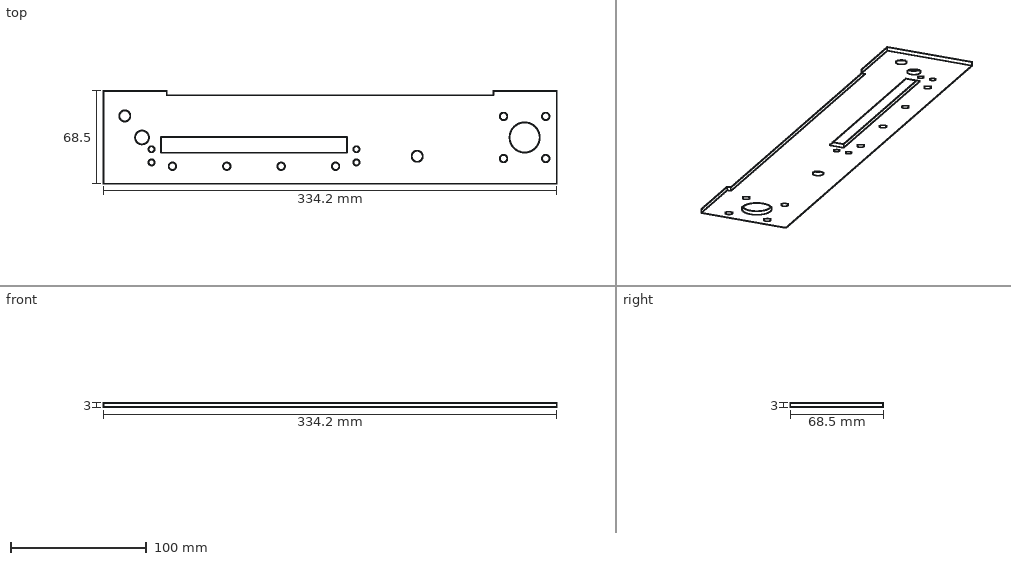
import cadquery as cq

LENGTH = 334.2
WIDTH = 68.5
THICKNESS = 3.0

RELIEF_END_MARGIN = 46.8
RELIEF_DEPTH = 3.0

SLOT_CENTER_X = 111.0
SLOT_CENTER_Y = 28.7
SLOT_LENGTH = 137.0
SLOT_WIDTH = 11.5

PAIR_DIAMETER = 4.5
PAIR_SPACING_X = 151.0
PAIR_SPACING_Y = 9.7
PAIR_CENTER_Y = 20.7

MOUNT_DIAMETER = 5.5
ROW_COUNT = 4
ROW_PITCH = 40.0
ROW_Y = 13.0

MOTOR_X = 310.5
MOTOR_Y = WIDTH / 2
MOTOR_DIAMETER = 22.0
MOTOR_BOLT_SPACING = 31.0

MEDIUM_DIAMETER = 8.0
CORNER_HOLE = (15.7, 50.0)
MIDDLE_HOLE = (231.3, 20.5)
LARGE_DIAMETER = 10.0
LARGE_HOLE = (28.5, WIDTH / 2)


def make_plate():
    """Flat plate with the relief cut from its back edge."""
    plate = cq.Workplane("XY").box(LENGTH, WIDTH, THICKNESS, centered=False)
    relief = (
        cq.Workplane("XY")
        .box(LENGTH - 2 * RELIEF_END_MARGIN, RELIEF_DEPTH, THICKNESS, centered=False)
        .translate((RELIEF_END_MARGIN, WIDTH - RELIEF_DEPTH, 0))
    )
    return plate.cut(relief)


def drill(plate, diameter, points):
    """Cut round through holes at the given points."""
    holes = cq.Workplane("XY").pushPoints(points).circle(diameter / 2).extrude(THICKNESS)
    return plate.cut(holes)


def rectangle_corners(center_x, center_y, spacing_x, spacing_y):
    """Corner points of a rectangular hole pattern."""
    return [
        (center_x + side_x * spacing_x / 2, center_y + side_y * spacing_y / 2)
        for side_x in (-1, 1)
        for side_y in (-1, 1)
    ]


plate = make_plate()

slot = (
    cq.Workplane("XY")
    .center(SLOT_CENTER_X, SLOT_CENTER_Y)
    .rect(SLOT_LENGTH, SLOT_WIDTH)
    .extrude(THICKNESS)
)
plate = plate.cut(slot)

pair_points = rectangle_corners(SLOT_CENTER_X, PAIR_CENTER_Y, PAIR_SPACING_X, PAIR_SPACING_Y)
plate = drill(plate, PAIR_DIAMETER, pair_points)

row_start_x = SLOT_CENTER_X - (ROW_COUNT - 1) * ROW_PITCH / 2
row_points = [(row_start_x + i * ROW_PITCH, ROW_Y) for i in range(ROW_COUNT)]
plate = drill(plate, MOUNT_DIAMETER, row_points)

bolt_points = rectangle_corners(MOTOR_X, MOTOR_Y, MOTOR_BOLT_SPACING, MOTOR_BOLT_SPACING)
plate = drill(plate, MOUNT_DIAMETER, bolt_points)
plate = drill(plate, MOTOR_DIAMETER, [(MOTOR_X, MOTOR_Y)])

plate = drill(plate, MEDIUM_DIAMETER, [CORNER_HOLE, MIDDLE_HOLE])
plate = drill(plate, LARGE_DIAMETER, [LARGE_HOLE])

result = plate